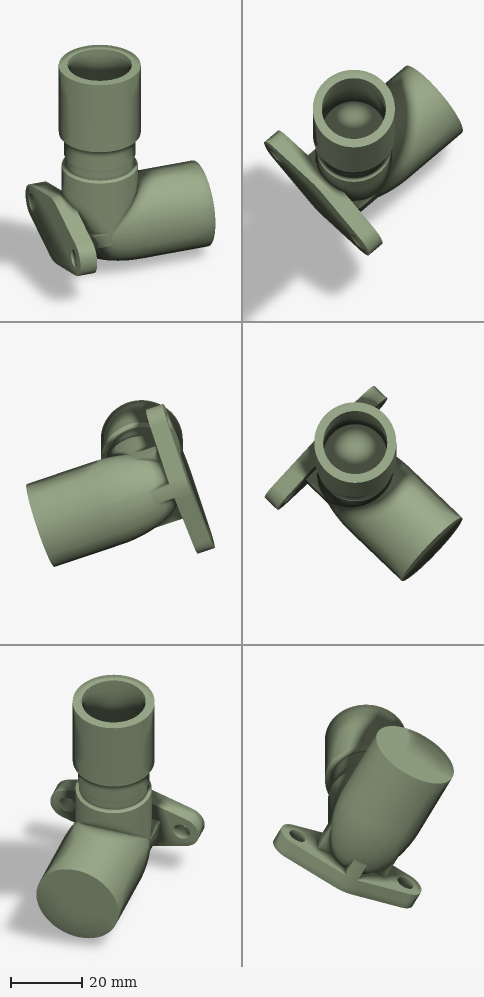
import cadquery as cq
import math

total_height = 62.7

socket_diameter = 24.5
socket_radius = socket_diameter / 2
axis_height = socket_radius
socket_start_y = 10.05
socket_length = 20.0
elbow_length = 22.1

body_radius = 21.4 / 2
groove_radius = 19.5 / 2
neck_radius = 20.0 / 2
collar_radius = 23.0 / 2
shoulder_bottom_z = 30.6
shoulder_top_z = 31.1
neck_bottom_z = 34.3
collar_bottom_z = 40.15
collar_chamfer = 1.0
bore_diameter = 18.0
bore_depth = 20.0

flange_face_y = -14.0
flange_thickness = 5.0
flange_back_y = flange_face_y + flange_thickness
flange_center_radius = 9.8
lobe_radius = 5.1
hole_diameter = 5.0
hole_offset = 44.2 / 2 - lobe_radius

rib_thickness = 4.0


def y_cylinder(radius, start_y, length, x=0):
    """Cylinder running toward +Y at the height of the horizontal axis."""
    base = cq.Workplane("XZ", origin=(x, start_y, axis_height))
    return base.circle(radius).extrude(-length)


def make_vertical_tube():
    """Solid of revolution: body, groove, neck and chamfered collar."""
    profile = [
        (0, axis_height),
        (body_radius, axis_height),
        (body_radius, shoulder_bottom_z),
        (groove_radius, shoulder_top_z),
        (groove_radius, neck_bottom_z),
        (neck_radius, neck_bottom_z),
        (neck_radius, collar_bottom_z),
        (collar_radius - collar_chamfer, collar_bottom_z),
        (collar_radius, collar_bottom_z + collar_chamfer),
        (collar_radius, total_height),
        (0, total_height),
    ]
    return cq.Workplane("XZ").polyline(profile).close().revolve(360, (0, 0), (0, 1))


def make_elbow():
    """Half ellipsoid tapering from the socket toward the flange."""
    half_profile = (
        cq.Workplane("XY", origin=(0, socket_start_y, axis_height))
        .lineTo(0, -elbow_length)
        .ellipseArc(socket_radius, elbow_length, -90, 0)
        .close()
    )
    return half_profile.revolve(360, (0, 0), (0, 1))


def make_flange():
    """Central disc with straight tangent sides running to two rounded lobes."""
    tangent_angle = math.acos((flange_center_radius - lobe_radius) / hole_offset)
    cos_t = math.cos(tangent_angle)
    sin_t = math.sin(tangent_angle)
    center_x = flange_center_radius * cos_t
    center_z = flange_center_radius * sin_t
    lobe_x = hole_offset + lobe_radius * cos_t
    lobe_z = lobe_radius * sin_t
    lobe_tip_x = hole_offset + lobe_radius
    outline = (
        cq.Workplane("XZ", origin=(0, flange_face_y, axis_height))
        .moveTo(-center_x, center_z)
        .threePointArc((0, flange_center_radius), (center_x, center_z))
        .lineTo(lobe_x, lobe_z)
        .threePointArc((lobe_tip_x, 0), (lobe_x, -lobe_z))
        .lineTo(center_x, -center_z)
        .threePointArc((0, -flange_center_radius), (-center_x, -center_z))
        .lineTo(-lobe_x, -lobe_z)
        .threePointArc((-lobe_tip_x, 0), (-lobe_x, lobe_z))
        .close()
    )
    flange = outline.extrude(-flange_thickness)
    for x in (-hole_offset, hole_offset):
        flange = flange.cut(y_cylinder(hole_diameter / 2, flange_face_y, flange_thickness, x))
    return flange


def make_ribs():
    """Horizontal rib as wide as the tube body and a vertical rib below, flush with the flange disc."""
    horizontal_length = -flange_back_y
    horizontal = cq.Workplane("XY").box(2 * body_radius, horizontal_length, rib_thickness)
    horizontal = horizontal.translate((0, flange_back_y / 2, axis_height))

    half_width = rib_thickness / 2
    corner_depth = math.sqrt(flange_center_radius**2 - half_width**2)
    vertical = (
        cq.Workplane("XZ", origin=(0, flange_back_y, axis_height))
        .moveTo(-half_width, 0)
        .lineTo(-half_width, -corner_depth)
        .threePointArc((0, -flange_center_radius), (half_width, -corner_depth))
        .lineTo(half_width, 0)
        .close()
        .extrude(flange_back_y - socket_start_y)
    )
    return horizontal.union(vertical)


socket = y_cylinder(socket_radius, socket_start_y, socket_length)
bore = (
    cq.Workplane("XY", origin=(0, 0, total_height))
    .circle(bore_diameter / 2)
    .extrude(-bore_depth)
)

result = (
    make_vertical_tube()
    .union(socket)
    .union(make_elbow())
    .union(make_ribs())
    .union(make_flange())
    .cut(bore)
)